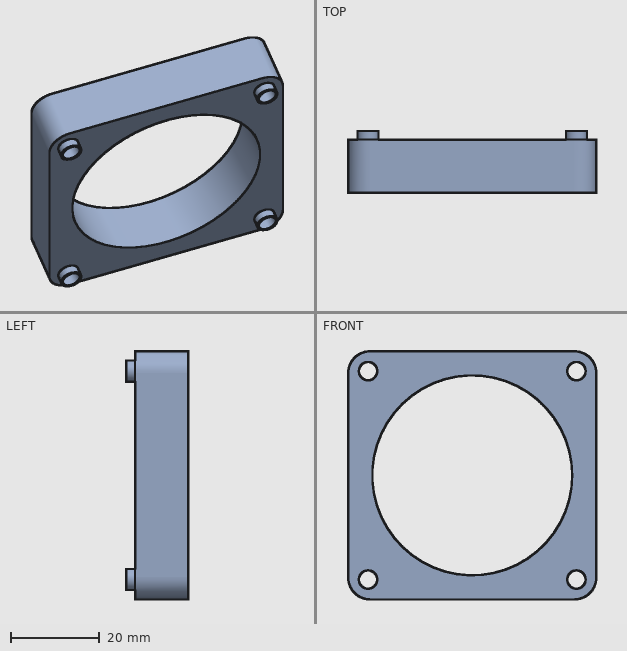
import cadquery as cq

side = 56.0
total_depth = 14.0
collar_height = 2.0
frame_depth = total_depth - collar_height
corner_radius = 5.0
bore_diameter = 45.0

hole_spacing = 47.0
hole_diameter = 4.1
collar_diameter = 4.8


def front_plane(y=0.0):
    """XZ workplane at the given Y; positive extrusion runs toward -Y."""
    return cq.Workplane("XZ", origin=(0, y, 0))


def corner_cylinders(diameter, start, length):
    """Four cylinders on the screw pattern, running from start toward +Y."""
    return (
        front_plane(start)
        .rect(hole_spacing, hole_spacing, forConstruction=True)
        .vertices()
        .circle(diameter / 2)
        .extrude(-length)
    )


frame = front_plane().rect(side, side).extrude(-frame_depth).edges("|Y").fillet(corner_radius)
bore = front_plane().circle(bore_diameter / 2).extrude(-frame_depth)

collars = corner_cylinders(collar_diameter, frame_depth / 2, total_depth - frame_depth / 2)
holes = corner_cylinders(hole_diameter, 0, total_depth)

result = frame.cut(bore).union(collars).cut(holes)